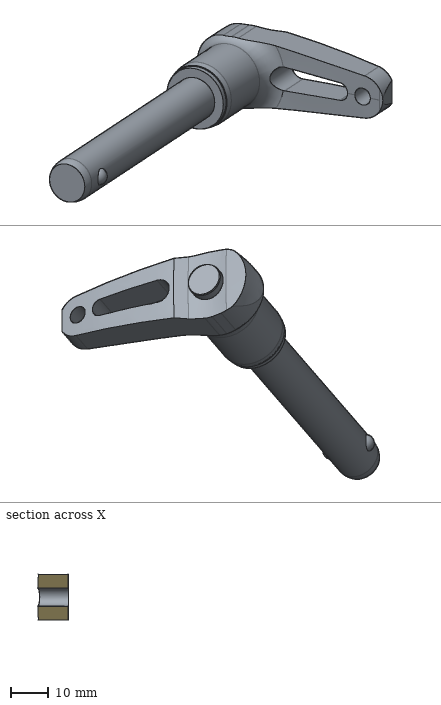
import cadquery as cq
import math


pin_radius = 6.0
pin_length = 70.6
tip_radius = 5.4
tip_length = 2.7
ball_radius = 2.4
ball_tip_distance = 8.4
ball_reach = 7.3

collar_radius = 9.15
collar_end_radius = 8.6
collar_end_length = 1.5
collar_taper_radius = 8.9
collar_taper_length = 1.95
flare_start = 19.0
flare_radius = 5.2
flare_top = flare_start + flare_radius

button_radius = 4.65
button_top = 35.1
button_edge_height = 0.4
button_edge_inset = 0.15

head_half_width = 10.1
end_radius = 6.1
arm_end = 44.5
end_center = arm_end - end_radius
side_angle = math.asin((head_half_width - end_radius) / end_center)
head_left = -12.6
back_center = (head_left + head_half_width) / (1 - math.sin(side_angle))
back_radius = back_center - head_left

head_top = 33.05
head_top_left = -11.35
dip_half_length = 5.5
dip_edge_height = 33.0
dip_height = 32.4
hump_x = 9.1
hump_height = 34.45
back_middle_x = 26.0
back_middle_height = 33.3
back_end_x = 43.5
back_end_height = 30.0
underside_slope_start = 11.5
underside_end_height = 22.9
underside_chamfer_length = 0.95
underside_chamfer_height = 0.2
crown_radius = 105.0

slot_start = 13.8
slot_start_radius = 3.4
slot_end = 31.2
slot_end_radius = 2.5
hole_center = 38.4
hole_radius = 2.4

head_middle = 28.0
margin = 20.0


def tapered_outline(x1, r1, x2, r2):
    """Points where the common tangents touch two circles centred on the X axis, upper side."""
    angle = math.asin((r1 - r2) / (x2 - x1))
    first = (x1 + r1 * math.sin(angle), r1 * math.cos(angle))
    second = (x2 + r2 * math.sin(angle), r2 * math.cos(angle))
    return first, second


def mirrored(point):
    """The point reflected across the X axis."""
    return (point[0], -point[1])


def make_pin():
    return (
        cq.Workplane("XY")
        .moveTo(0, flare_top)
        .lineTo(pin_radius, flare_top)
        .lineTo(pin_radius, tip_length - pin_length)
        .tangentArcPoint((tip_radius, -pin_length), relative=False)
        .lineTo(0, -pin_length)
        .close()
        .revolve(360, (0, 0, 0), (0, 1, 0))
    )


def make_balls():
    offset = ball_reach - ball_radius
    ball_y = ball_tip_distance - pin_length
    return (
        cq.Workplane("XY")
        .pushPoints([(-offset, ball_y), (offset, ball_y)])
        .sphere(ball_radius)
    )


def make_collar():
    """Collar with a tapered lower edge and a concave flare that meets the handle."""
    flare_edge = collar_radius + flare_radius
    flare_diagonal = flare_radius * math.sqrt(0.5)
    return (
        cq.Workplane("XY")
        .lineTo(collar_end_radius, 0)
        .lineTo(collar_end_radius, collar_end_length)
        .lineTo(collar_taper_radius, collar_end_length)
        .lineTo(collar_radius, collar_end_length + collar_taper_length)
        .lineTo(collar_radius, flare_start)
        .threePointArc(
            (flare_edge - flare_diagonal, flare_start + flare_diagonal),
            (flare_edge, flare_top),
        )
        .lineTo(flare_edge, head_middle)
        .lineTo(0, head_middle)
        .close()
        .revolve(360, (0, 0, 0), (0, 1, 0))
    )


def make_button():
    return (
        cq.Workplane("XY")
        .moveTo(0, head_middle)
        .lineTo(button_radius, head_middle)
        .lineTo(button_radius, button_top - button_edge_height)
        .lineTo(button_radius - button_edge_inset, button_top)
        .lineTo(0, button_top)
        .close()
        .revolve(360, (0, 0, 0), (0, 1, 0))
    )


def make_outline_prism():
    front, tip = tapered_outline(0, head_half_width, end_center, end_radius)
    back = (back_center - back_radius * math.sin(side_angle), back_radius * math.cos(side_angle))
    front_left = (-front[0], front[1])
    return (
        cq.Workplane("XZ")
        .moveTo(*front)
        .lineTo(*tip)
        .threePointArc((arm_end, 0), mirrored(tip))
        .lineTo(*mirrored(front))
        .threePointArc((0, -head_half_width), mirrored(front_left))
        .lineTo(*mirrored(back))
        .threePointArc((head_left, 0), back)
        .lineTo(*front_left)
        .threePointArc((0, head_half_width), front)
        .close()
        .extrude(-(button_top + margin))
    )


def make_side_slab():
    """Handle side profile: curved underside and leaning tip, oversized at the top and left for trimming."""
    underside_edge = arm_end - underside_chamfer_length
    end_lean = (arm_end - back_end_x) / (back_end_height - underside_end_height)
    return (
        cq.Workplane("XY")
        .moveTo(head_left - margin, flare_top)
        .lineTo(underside_slope_start, flare_top)
        .spline(
            [(underside_edge, underside_end_height)],
            tangents=[(1, 0), (1, 0)],
            includeCurrent=True,
        )
        .lineTo(arm_end, underside_end_height + underside_chamfer_height)
        .lineTo(arm_end - end_lean * margin, underside_end_height + margin)
        .lineTo(head_left - margin, underside_end_height + margin)
        .close()
        .extrude(head_half_width + margin, both=True)
    )


def make_crown():
    """Solid whose skin is the handle's top: the top profile turned about a distant X-parallel axis."""
    axis_y = hump_height - crown_radius
    left = head_left - margin
    return (
        cq.Workplane("XY")
        .moveTo(left, axis_y)
        .lineTo(left, head_top)
        .lineTo(head_top_left, head_top)
        .lineTo(-dip_half_length, dip_edge_height)
        .threePointArc((0, dip_height), (dip_half_length, dip_edge_height))
        .lineTo(hump_x, hump_height)
        .threePointArc((back_middle_x, back_middle_height), (back_end_x, back_end_height))
        .lineTo(arm_end + margin, back_end_height)
        .lineTo(arm_end + margin, axis_y)
        .close()
        .revolve(360, (0, axis_y, 0), (1, axis_y, 0))
    )


def make_end_draft():
    """Cone about the pin axis that leans the back of the head inward, open on the arm side."""
    lean = (head_top_left - head_left) / (head_top - flare_top)
    base_radius = -head_left + lean * flare_top
    height = button_top + margin
    cone = (
        cq.Workplane("XY")
        .lineTo(base_radius, 0)
        .lineTo(base_radius - lean * height, height)
        .lineTo(0, height)
        .close()
        .revolve(360, (0, 0, 0), (0, 1, 0))
    )
    arm_side = cq.Workplane("XY").box(
        arm_end + margin, height, 2 * (head_half_width + margin), centered=(False, False, True)
    )
    return cone.union(arm_side)


def make_arm_cutouts():
    start, end = tapered_outline(slot_start, slot_start_radius, slot_end, slot_end_radius)
    depth = -(button_top + margin)
    slot = (
        cq.Workplane("XZ")
        .moveTo(*start)
        .lineTo(*end)
        .threePointArc((slot_end + slot_end_radius, 0), mirrored(end))
        .lineTo(*mirrored(start))
        .threePointArc((slot_start - slot_start_radius, 0), start)
        .close()
        .extrude(depth)
    )
    hole = cq.Workplane("XZ").center(hole_center, 0).circle(hole_radius).extrude(depth)
    return slot.union(hole)


handle = make_side_slab().union(make_collar()).intersect(make_outline_prism())
handle = handle.intersect(make_crown()).intersect(make_end_draft()).cut(make_arm_cutouts())
result = handle.union(make_pin()).union(make_balls()).union(make_button())